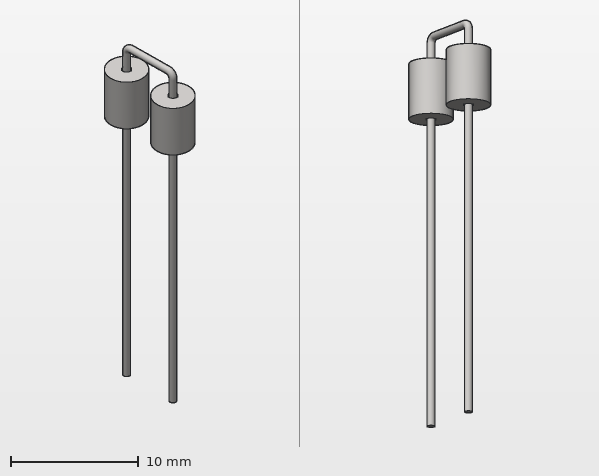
import cadquery as cq

WIRE_DIAMETER = 0.65
LEG_SPACING = 5.02
BEND_RADIUS = 0.5
TOTAL_HEIGHT = 32.0

BEAD_DIAMETER = 3.5
BEAD_HOLE_DIAMETER = 0.8
BEAD_LENGTH = 4.5
BEAD_BOTTOM = 25.0

LEG_X = LEG_SPACING / 2
BRIDGE_Z = TOTAL_HEIGHT - WIRE_DIAMETER / 2


def make_wire():
    """Sweep the round wire section up one leg, across the bridge and down the other."""
    bend_start_z = BRIDGE_Z - BEND_RADIUS
    bridge_end_x = LEG_X - BEND_RADIUS
    path = (
        cq.Workplane("XZ")
        .moveTo(-LEG_X, 0)
        .lineTo(-LEG_X, bend_start_z)
        .tangentArcPoint((-bridge_end_x, BRIDGE_Z), relative=False)
        .lineTo(bridge_end_x, BRIDGE_Z)
        .tangentArcPoint((LEG_X, bend_start_z), relative=False)
        .lineTo(LEG_X, 0)
    )
    return cq.Workplane("XY").center(-LEG_X, 0).circle(WIRE_DIAMETER / 2).sweep(path)


def make_bead(x):
    """Make one bead centred on the leg at x, with a clearance hole for the wire."""
    return (
        cq.Workplane("XY", origin=(x, 0, BEAD_BOTTOM))
        .circle(BEAD_DIAMETER / 2)
        .circle(BEAD_HOLE_DIAMETER / 2)
        .extrude(BEAD_LENGTH)
    )


wire = make_wire()
beads = [make_bead(x) for x in (-LEG_X, LEG_X)]

result = cq.Compound.makeCompound([wire.val(), *[bead.val() for bead in beads]])